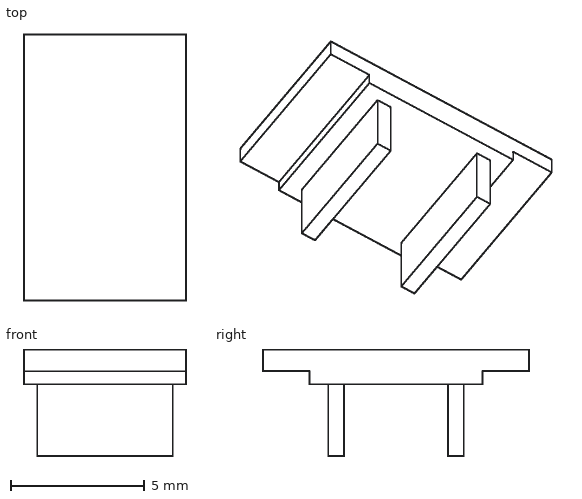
import cadquery as cq

plate_width = 6.1
plate_length = 10.0
plate_thickness = 0.8

step_length = 6.5
step_depth = 0.5

total_height = 4.0
leg_margin = 0.5
leg_width = plate_width - 2 * leg_margin
leg_span = 5.1
leg_thickness = 0.6
leg_height = total_height - plate_thickness - step_depth

step_bottom = leg_height
plate_bottom = step_bottom + step_depth


def block(width, length, height, bottom, center_y=0.0):
    """Box centred on X = 0 and on center_y, standing on the level bottom."""
    box = cq.Workplane("XY").box(width, length, height, centered=(True, True, False))
    return box.translate((0, center_y, bottom))


plate = block(plate_width, plate_length, plate_thickness, plate_bottom)
step = block(plate_width, step_length, step_depth, step_bottom)
result = plate.union(step)

leg_offset = (leg_span - leg_thickness) / 2
for side in (-1, 1):
    leg = block(leg_width, leg_thickness, leg_height, 0, side * leg_offset)
    result = result.union(leg)